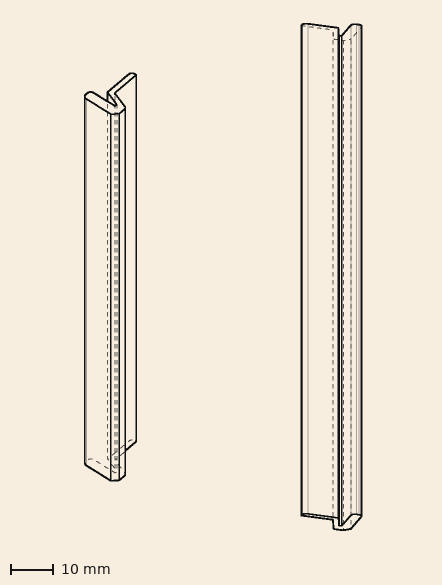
import cadquery as cq

LENGTH = 125.0
WIDTH = 10.0
HEIGHT = 13.5

FOOT_THICKNESS = 2.6
FOOT_END_RADIUS = 1.0
FOOT_BEVEL = 1.4

LIP_LEFT = 3.4
LIP_THICKNESS = 1.5
LIP_RIGHT = LIP_LEFT + LIP_THICKNESS
LIP_TIP_RADIUS = 1.0

WEB_TOP = 5.8
WEB_SLOPE = 0.38
LIP_HEEL = 4.9
GAP_END = 7.6
SHOULDER_RADIUS = 0.6

web_top_right = WEB_TOP - WEB_SLOPE * (WIDTH - LIP_RIGHT)
gap_ceiling = LIP_HEEL - WEB_SLOPE * (GAP_END - LIP_LEFT)


def vertical_edge_at(x, y):
    """Select the lengthwise edge passing through a profile corner."""
    return cq.selectors.NearestToPointSelector((x, y, LENGTH / 2))


def round_corner(body, x, y, radius):
    return body.edges(vertical_edge_at(x, y)).fillet(radius)


def make_strip():
    profile = [
        (0, 0),
        (WIDTH, 0),
        (WIDTH, web_top_right),
        (LIP_RIGHT, WEB_TOP),
        (LIP_RIGHT, HEIGHT),
        (LIP_LEFT, HEIGHT),
        (LIP_LEFT, LIP_HEEL),
        (GAP_END, gap_ceiling),
        (GAP_END, FOOT_THICKNESS),
        (0, FOOT_THICKNESS),
    ]
    return cq.Workplane("XY").polyline(profile).close().extrude(LENGTH)


def bevel_corner(body, x, y, size):
    return body.edges(vertical_edge_at(x, y)).chamfer(size)


strip = make_strip()
rounded_corners = [
    (0, 0, FOOT_END_RADIUS),
    (0, FOOT_THICKNESS, FOOT_END_RADIUS),
    (LIP_LEFT, HEIGHT, LIP_TIP_RADIUS),
    (WIDTH, web_top_right, SHOULDER_RADIUS),
]
for corner_x, corner_y, corner_radius in rounded_corners:
    strip = round_corner(strip, corner_x, corner_y, corner_radius)

result = bevel_corner(strip, WIDTH, 0, FOOT_BEVEL)